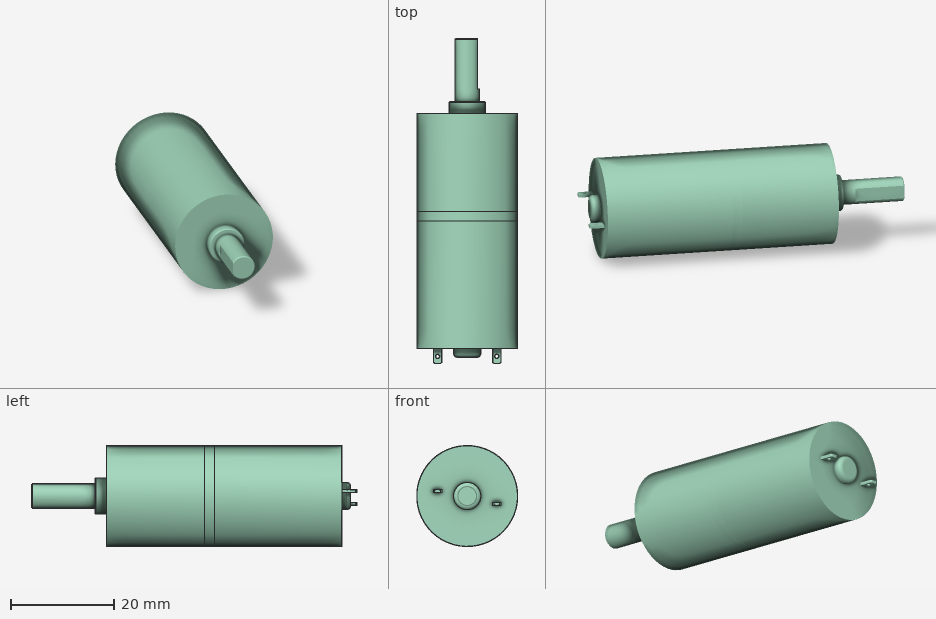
import cadquery as cq

overall_length = 63.0
body_radius = 19.6 / 2

terminal_length = 2.9
motor_length = 24.7
ring_length = 1.9
gearbox_length = 19.05
boss_length = 2.3

cap_radius = 2.65
cap_length = 1.7
cap_fillet = 0.8

boss_radius = 3.5
boss_chamfer = 0.2

shaft_radius = 2.4
shaft_chamfer = 0.2
flat_offset = 2.0
flat_length = 9.8

terminal_width = 1.65
terminal_thickness = 0.55
terminal_chamfer = 0.25
terminal_hole_diameter = 0.75
terminal_hole_distance = 1.5
terminal_places = [(-5.75, 0.95), (5.75, -1.5)]

ring_start = motor_length
gearbox_start = ring_start + ring_length
boss_start = gearbox_start + gearbox_length
shaft_start = boss_start + boss_length
shaft_length = overall_length - terminal_length - shaft_start


def cylinder(radius, start_y, length):
    """Cylinder on the Y axis, running from start_y toward +Y."""
    return cq.Workplane("XZ", origin=(0, start_y, 0)).circle(radius).extrude(-length)


def make_motor():
    can = cylinder(body_radius, 0, motor_length)
    cap = cylinder(cap_radius, -cap_length, cap_length).faces("<Y").edges().fillet(cap_fillet)
    return can.union(cap)


def make_ring():
    return cylinder(body_radius, ring_start, ring_length)


def make_gearbox():
    case = cylinder(body_radius, gearbox_start, gearbox_length)
    boss = cylinder(boss_radius, boss_start, boss_length).faces(">Y").edges().chamfer(boss_chamfer)
    return case.union(boss)


def make_shaft():
    shaft = cylinder(shaft_radius, shaft_start, shaft_length)
    shaft = shaft.faces(">Y").edges().chamfer(shaft_chamfer)
    flat_cutter = cq.Workplane("XY").box(
        shaft_radius, flat_length, 2 * shaft_radius, centered=(False, False, True)
    )
    flat_start = shaft_start + shaft_length - flat_length
    return shaft.cut(flat_cutter.translate((flat_offset, flat_start, 0)))


def make_terminal(x, z):
    blade = cq.Workplane("XY").box(terminal_width, terminal_length, terminal_thickness)
    blade = blade.translate((0, -terminal_length / 2, 0))
    blade = blade.faces("<Y").edges("|Z").chamfer(terminal_chamfer)
    hole = (
        cq.Workplane("XY")
        .center(0, -terminal_hole_distance)
        .circle(terminal_hole_diameter / 2)
        .extrude(terminal_thickness, both=True)
    )
    return blade.cut(hole).translate((x, 0, z))


motor = make_motor()
ring = make_ring()
gearbox = make_gearbox()
shaft = make_shaft()
terminals = [make_terminal(x, z) for x, z in terminal_places]

result = cq.Compound.makeCompound([
    motor.val(),
    ring.val(),
    gearbox.val(),
    shaft.val(),
    *[terminal.val() for terminal in terminals],
])